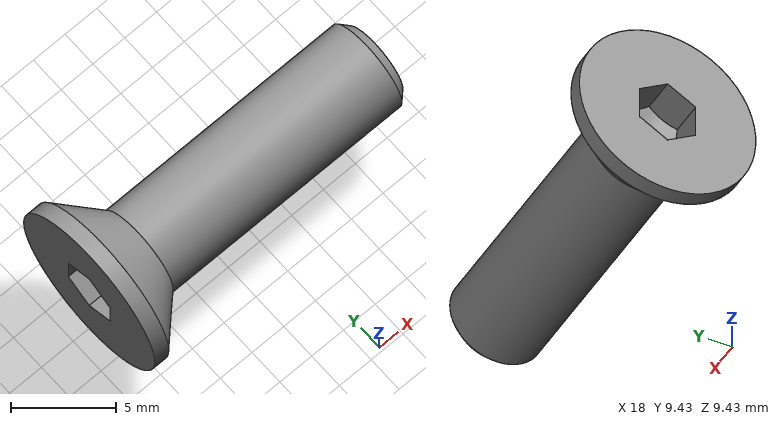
import cadquery as cq
import math

total_length = 18.0
head_diameter = 9.43
shank_diameter = 5.0
rim_thickness = 0.88
tip_chamfer = 0.5
socket_across_flats = 2.99
socket_depth = 1.89
socket_cone_angle = 120.0

head_radius = head_diameter / 2
shank_radius = shank_diameter / 2
head_height = rim_thickness + head_radius - shank_radius
socket_corner_diameter = socket_across_flats / math.cos(math.radians(30))


def screw_body():
    """Head, shank and chamfered tip revolved about the X axis."""
    return (
        cq.Workplane("XY")
        .lineTo(0, head_radius)
        .lineTo(rim_thickness, head_radius)
        .lineTo(head_height, shank_radius)
        .lineTo(total_length - tip_chamfer, shank_radius)
        .lineTo(total_length, shank_radius - tip_chamfer)
        .lineTo(total_length, 0)
        .close()
        .revolve(360, (0, 0, 0), (1, 0, 0))
    )


def hex_socket():
    """Hexagonal prism with corners on the Z axis, ended by a cone."""
    corner_radius = socket_corner_diameter / 2
    cone_length = corner_radius / math.tan(math.radians(socket_cone_angle / 2))
    cone_end = socket_depth + cone_length
    prism = (
        cq.Workplane("YZ")
        .transformed(rotate=(0, 0, 90))
        .polygon(6, socket_corner_diameter)
        .extrude(cone_end)
    )
    drill_envelope = (
        cq.Workplane("XY")
        .lineTo(0, corner_radius)
        .lineTo(socket_depth, corner_radius)
        .lineTo(cone_end, 0)
        .close()
        .revolve(360, (0, 0, 0), (1, 0, 0))
    )
    return prism.intersect(drill_envelope)


result = screw_body().cut(hex_socket())